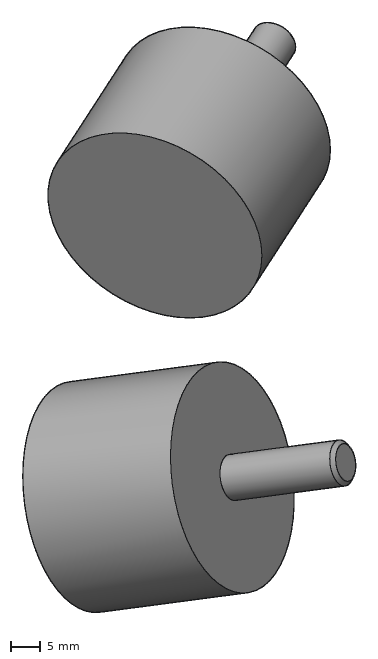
import cadquery as cq

total_length = 53.0
buffer_diameter = 40.0
buffer_length = 30.0
stud_diameter = 8.0
stud_chamfer = 0.75

stud_length = total_length - buffer_length
stud_radius = stud_diameter / 2


def make_buffer():
    """Plain round block reaching from the stud towards -Y."""
    return cq.Workplane("XZ").circle(buffer_diameter / 2).extrude(buffer_length)


def make_stud():
    """Round stud reaching towards +Y, with a chamfered free end."""
    half_profile = (
        cq.Workplane("XY")
        .lineTo(stud_radius, 0)
        .lineTo(stud_radius, stud_length - stud_chamfer)
        .lineTo(stud_radius - stud_chamfer, stud_length)
        .lineTo(0, stud_length)
        .close()
    )
    return half_profile.revolve(360, (0, 0, 0), (0, 1, 0))


buffer = make_buffer()
stud = make_stud()

result = cq.Compound.makeCompound([buffer.val(), stud.val()])